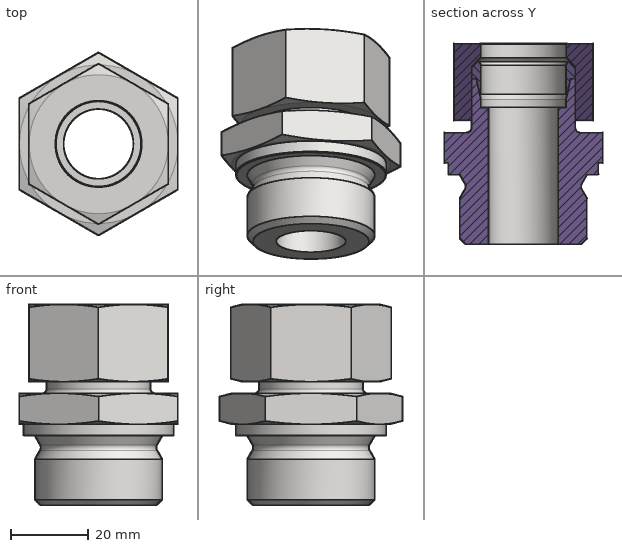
import cadquery as cq
import math

TOTAL_HEIGHT = 52.0
NUT_HEIGHT = 19.95
NUT_BOTTOM = TOTAL_HEIGHT - NUT_HEIGHT

NUT_ACROSS_FLATS = 36.0
BODY_ACROSS_FLATS = 41.05
HEX_HALF_ANGLE = 30.0
HEX_CHAMFER_ANGLE = 15.0

STUD_DIAMETER = 33.0
STUD_CHAMFER = 1.5
FLANGE_DIAMETER = 39.0
FLANGE_BOTTOM = 18.0
FLANGE_CHAMFER = 0.2
HEX_BOTTOM = 21.0
HEX_TOP = 29.0
UNDERCUT_DIAMETER = 30.0
UNDERCUT_FILLET = 1.45
UNDERCUT_FLANK_ANGLE = 30.0
NECK_DIAMETER = 27.0
NECK_FILLET = 1.15

TUBE_DIAMETER = 22.0
FLOW_DIAMETER = 18.0
TUBE_STOP_HEIGHT = 35.45
CONE_BOTTOM = 37.6
CONE_MOUTH_DIAMETER = 24.3
CONE_ANGLE = 12.0

RING_BOTTOM = 38.8
RING_TOP = 47.25
RING_LEAD_DIAMETER = 22.8
RING_LEAD_DEPTH = 0.9

NUT_BORE_DIAMETER = 22.1
NUT_BORE_CHAMFER = 0.15

TUBE_RADIUS = TUBE_DIAMETER / 2
NECK_RADIUS = NECK_DIAMETER / 2
CONE_MOUTH_RADIUS = CONE_MOUTH_DIAMETER / 2
CONE_SLOPE = math.tan(math.radians(CONE_ANGLE))
BODY_TOP = CONE_BOTTOM + (CONE_MOUTH_RADIUS - TUBE_RADIUS) / CONE_SLOPE
SHOULDER_BOTTOM = RING_TOP - (NECK_RADIUS - CONE_MOUTH_RADIUS)


def revolve_profile(profile):
    """Close an (r, z) profile and turn it around the Z axis."""
    return profile.close().revolve(360, (0, 0, 0), (0, 1, 0))


def chamfered_hexagon(across_flats, bottom, top):
    """Hexagonal prism with both ends turned to a shallow cone."""
    corner_diameter = across_flats / math.cos(math.radians(HEX_HALF_ANGLE))
    prism = (
        cq.Workplane("XY", origin=(0, 0, bottom))
        .polygon(6, corner_diameter)
        .extrude(top - bottom)
        .rotate((0, 0, 0), (0, 0, 1), HEX_HALF_ANGLE)
    )
    flat_radius = across_flats / 2
    corner_radius = corner_diameter / 2
    drop = (corner_radius - flat_radius) * math.tan(math.radians(HEX_CHAMFER_ANGLE))
    envelope = revolve_profile(
        cq.Workplane("XZ")
        .moveTo(0, bottom)
        .lineTo(flat_radius, bottom)
        .lineTo(corner_radius, bottom + drop)
        .lineTo(corner_radius, top - drop)
        .lineTo(flat_radius, top)
        .lineTo(0, top)
    )
    return prism.intersect(envelope)


def make_stud():
    """Stud, undercut and flange turned in one profile, still without bores."""
    stud_radius = STUD_DIAMETER / 2
    flange_radius = FLANGE_DIAMETER / 2
    root_radius = UNDERCUT_DIAMETER / 2
    flank = math.radians(UNDERCUT_FLANK_ANGLE)
    tangent_radius = root_radius + UNDERCUT_FILLET * (1 - math.cos(flank))
    tangent_offset = UNDERCUT_FILLET * math.sin(flank)
    half_width = tangent_offset + (stud_radius - tangent_radius) / math.tan(flank)
    root_height = FLANGE_BOTTOM - half_width
    return revolve_profile(
        cq.Workplane("XZ")
        .moveTo(0, 0)
        .lineTo(stud_radius - STUD_CHAMFER, 0)
        .lineTo(stud_radius, STUD_CHAMFER)
        .lineTo(stud_radius, root_height - half_width)
        .lineTo(tangent_radius, root_height - tangent_offset)
        .threePointArc((root_radius, root_height), (tangent_radius, root_height + tangent_offset))
        .lineTo(stud_radius, FLANGE_BOTTOM)
        .lineTo(flange_radius - FLANGE_CHAMFER, FLANGE_BOTTOM)
        .lineTo(flange_radius, FLANGE_BOTTOM + FLANGE_CHAMFER)
        .lineTo(flange_radius, HEX_BOTTOM)
        .lineTo(0, HEX_BOTTOM)
    )


def make_neck():
    """Round neck above the hexagon, with a hollow fillet at its foot."""
    middle_offset = NECK_FILLET * (1 - math.sqrt(0.5))
    fillet_middle = (NECK_RADIUS + middle_offset, HEX_TOP + middle_offset)
    return revolve_profile(
        cq.Workplane("XZ")
        .moveTo(0, HEX_TOP)
        .lineTo(NECK_RADIUS + NECK_FILLET, HEX_TOP)
        .threePointArc(fillet_middle, (NECK_RADIUS, HEX_TOP + NECK_FILLET))
        .lineTo(NECK_RADIUS, BODY_TOP)
        .lineTo(0, BODY_TOP)
    )


def make_body_bore():
    """Flow bore, tube socket and sealing cone as one cutter."""
    flow_radius = FLOW_DIAMETER / 2
    return revolve_profile(
        cq.Workplane("XZ")
        .moveTo(0, 0)
        .lineTo(flow_radius, 0)
        .lineTo(flow_radius, TUBE_STOP_HEIGHT)
        .lineTo(TUBE_RADIUS, TUBE_STOP_HEIGHT)
        .lineTo(TUBE_RADIUS, CONE_BOTTOM)
        .lineTo(CONE_MOUTH_RADIUS, BODY_TOP)
        .lineTo(0, BODY_TOP)
    )


def make_fitting_body():
    """Stud, hexagon and neck joined into one solid and bored through."""
    hexagon = chamfered_hexagon(BODY_ACROSS_FLATS, HEX_BOTTOM, HEX_TOP)
    return make_stud().union(hexagon).union(make_neck()).cut(make_body_bore())


def make_cutting_ring():
    """Ring wedged between the body's cone and the nut's shoulder."""
    tip_radius = TUBE_RADIUS + (RING_BOTTOM - CONE_BOTTOM) * CONE_SLOPE
    return revolve_profile(
        cq.Workplane("XZ")
        .moveTo(TUBE_RADIUS, RING_BOTTOM)
        .lineTo(tip_radius, RING_BOTTOM)
        .lineTo(CONE_MOUTH_RADIUS, BODY_TOP)
        .lineTo(NECK_RADIUS, BODY_TOP)
        .lineTo(NECK_RADIUS, SHOULDER_BOTTOM)
        .lineTo(CONE_MOUTH_RADIUS, RING_TOP)
        .lineTo(RING_LEAD_DIAMETER / 2, RING_TOP)
        .lineTo(TUBE_RADIUS, RING_TOP - RING_LEAD_DEPTH)
    )


def make_nut():
    """Union nut with a 45 degree shoulder that presses on the ring."""
    bore_radius = NUT_BORE_DIAMETER / 2
    bore_bottom = SHOULDER_BOTTOM + NECK_RADIUS - bore_radius
    bore = revolve_profile(
        cq.Workplane("XZ")
        .moveTo(0, NUT_BOTTOM)
        .lineTo(NECK_RADIUS, NUT_BOTTOM)
        .lineTo(NECK_RADIUS, SHOULDER_BOTTOM)
        .lineTo(bore_radius, bore_bottom)
        .lineTo(bore_radius, TOTAL_HEIGHT - NUT_BORE_CHAMFER)
        .lineTo(bore_radius + NUT_BORE_CHAMFER, TOTAL_HEIGHT)
        .lineTo(0, TOTAL_HEIGHT)
    )
    return chamfered_hexagon(NUT_ACROSS_FLATS, NUT_BOTTOM, TOTAL_HEIGHT).cut(bore)


fitting_body = make_fitting_body()
cutting_ring = make_cutting_ring()
nut = make_nut()

result = cq.Compound.makeCompound([fitting_body.val(), cutting_ring.val(), nut.val()])